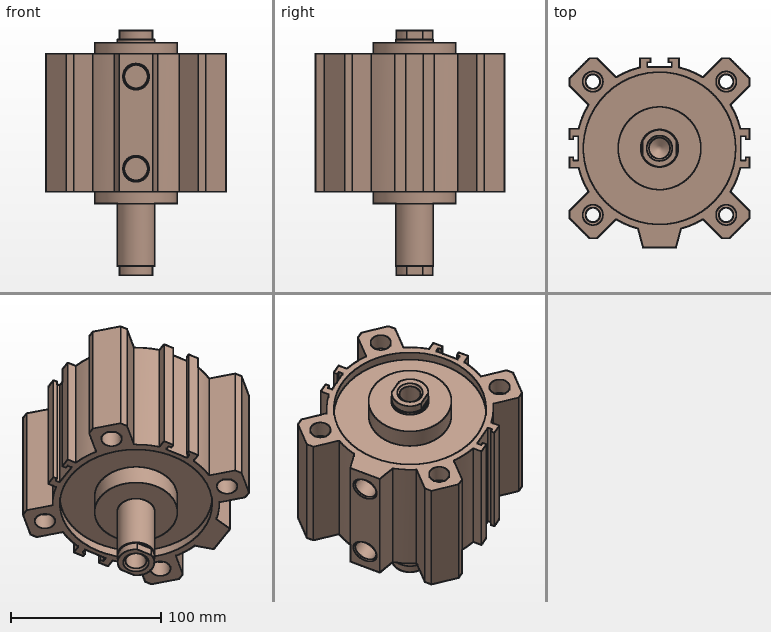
import cadquery as cq
import math

ROD_LENGTH = 163.0
BODY_BOTTOM = 55.6
BODY_HEIGHT = 92.0
BODY_TOP = BODY_BOTTOM + BODY_HEIGHT
BODY_MIDDLE = BODY_BOTTOM + BODY_HEIGHT / 2

BARREL_RADIUS = 55.5
HALF_WIDTH = 60.0
RECESS_RADIUS = 50.7
RECESS_DEPTH = 7.0
BOSS_RADIUS = 27.5
TOP_BOSS_HEIGHT = 7.3
BOTTOM_BOSS_HEIGHT = 7.8

EAR_WIDTH = 26.0
EAR_REACH = 75.3
BOLT_OFFSET = 44.3
BOLT_DIAMETER = 9.5
COUNTERBORE_DIAMETER = 13.5
COUNTERBORE_DEPTH = 13.0

RAIL_WIDTH = 26.2
SLOT_OPENING = 11.7
SLOT_INNER_WIDTH = 16.0
SLOT_LIP = 2.8
SLOT_FLOOR = 54.1

RIDGE_REACH = 66.0
RIDGE_FACE_WIDTH = 22.0
RIDGE_SLOPE = 15.0
PORT_DIAMETER = 15.5
PORT_DEPTH = 13.0
PORT_CHAMFER = 1.0
PORT_SPACING = 61.3

ROD_RADIUS = 12.5
TIP_RADIUS = 12.2
TIP_LENGTH = 6.0
FLATS_WIDTH = 22.0
SOCKET_RADIUS = 7.0
SOCKET_MOUTH_RADIUS = 8.5
SOCKET_DEPTH = 24.5
DRILL_POINT_ANGLE = 118.0


def make_ridge():
    """Port ridge that widens from its outer face towards the barrel."""
    face_half = RIDGE_FACE_WIDTH / 2
    foot_y = -RECESS_RADIUS
    foot_half = face_half + (RIDGE_REACH + foot_y) * math.tan(math.radians(RIDGE_SLOPE))
    return (
        cq.Workplane("XY")
        .polyline([
            (-face_half, -RIDGE_REACH),
            (face_half, -RIDGE_REACH),
            (foot_half, foot_y),
            (-foot_half, foot_y),
        ])
        .close()
        .extrude(BODY_HEIGHT)
    )


def make_ears():
    """Two diagonal bars whose ends are clipped by the square envelope."""
    envelope = cq.Workplane("XY").rect(2 * HALF_WIDTH, 2 * HALF_WIDTH).extrude(BODY_HEIGHT)
    bar = cq.Workplane("XY").rect(2 * EAR_REACH, EAR_WIDTH).extrude(BODY_HEIGHT)
    bars = bar.rotate((0, 0, 0), (0, 0, 1), 45).union(bar.rotate((0, 0, 0), (0, 0, 1), -45))
    return bars.intersect(envelope)


def make_rail():
    """Rail block on the +X side, before its T-slot is cut."""
    return (
        cq.Workplane("XY")
        .center(HALF_WIDTH / 2, 0)
        .rect(HALF_WIDTH, RAIL_WIDTH)
        .extrude(BODY_HEIGHT)
    )


def make_rail_slot():
    """T-slot cutter on the +X side."""
    lip_x = HALF_WIDTH - SLOT_LIP
    opening = (
        cq.Workplane("XY")
        .center((SLOT_FLOOR + HALF_WIDTH) / 2, 0)
        .rect(HALF_WIDTH - SLOT_FLOOR, SLOT_OPENING)
        .extrude(BODY_HEIGHT)
    )
    inner = (
        cq.Workplane("XY")
        .center((SLOT_FLOOR + lip_x) / 2, 0)
        .rect(lip_x - SLOT_FLOOR, SLOT_INNER_WIDTH)
        .extrude(BODY_HEIGHT)
    )
    return opening.union(inner)


def make_profile():
    """Extruded housing profile, standing on z = 0."""
    barrel = cq.Workplane("XY").circle(BARREL_RADIUS).extrude(BODY_HEIGHT)
    profile = barrel.union(make_ridge()).union(make_ears())
    for angle in (0, 90, 180):
        profile = profile.union(make_rail().rotate((0, 0, 0), (0, 0, 1), angle))
        profile = profile.cut(make_rail_slot().rotate((0, 0, 0), (0, 0, 1), angle))
    return profile


def cut_end_recesses(body):
    """Cut the round end recesses, then add the bosses standing in them."""
    for floor_z in (BODY_TOP - RECESS_DEPTH, BODY_BOTTOM):
        recess = (
            cq.Workplane("XY")
            .workplane(offset=floor_z)
            .circle(RECESS_RADIUS)
            .extrude(RECESS_DEPTH)
        )
        body = body.cut(recess)
    boss_bottom = BODY_BOTTOM - BOTTOM_BOSS_HEIGHT
    boss_top = BODY_TOP + TOP_BOSS_HEIGHT
    bosses = (
        cq.Workplane("XY")
        .workplane(offset=boss_bottom)
        .circle(BOSS_RADIUS)
        .extrude(boss_top - boss_bottom)
    )
    return body.union(bosses)


def cut_bolt_holes(body):
    """Through holes in the ears, counterbored from both ends."""
    bolt_points = [(x, y) for x in (-BOLT_OFFSET, BOLT_OFFSET) for y in (-BOLT_OFFSET, BOLT_OFFSET)]
    cylinders = (
        (BOLT_DIAMETER, BODY_BOTTOM, BODY_HEIGHT),
        (COUNTERBORE_DIAMETER, BODY_BOTTOM, COUNTERBORE_DEPTH),
        (COUNTERBORE_DIAMETER, BODY_TOP - COUNTERBORE_DEPTH, COUNTERBORE_DEPTH),
    )
    for diameter, start_z, length in cylinders:
        holes = (
            cq.Workplane("XY")
            .workplane(offset=start_z)
            .pushPoints(bolt_points)
            .circle(diameter / 2)
            .extrude(length)
        )
        body = body.cut(holes)
    return body


def make_port(z):
    """Cutter for one blind port with a chamfered mouth, entering along +Y."""
    radius = PORT_DIAMETER / 2
    port = (
        cq.Workplane("XY")
        .polyline([
            (0, 0),
            (radius + PORT_CHAMFER, 0),
            (radius, PORT_CHAMFER),
            (radius, PORT_DEPTH),
            (0, PORT_DEPTH),
        ])
        .close()
        .revolve(360, (0, 0, 0), (0, 1, 0))
    )
    return port.translate((0, -RIDGE_REACH, z))


def make_housing():
    """Housing with a through bore that fits the rod."""
    body = make_profile().translate((0, 0, BODY_BOTTOM))
    body = cut_end_recesses(body)
    body = cut_bolt_holes(body)
    for side in (-1, 1):
        body = body.cut(make_port(BODY_MIDDLE + side * PORT_SPACING / 2))
    bore = cq.Workplane("XY").circle(ROD_RADIUS).extrude(ROD_LENGTH)
    return body.cut(bore).solids()


def make_rod_socket():
    """Blind socket cutter at the lower rod tip: chamfered mouth and drill point."""
    mouth_depth = SOCKET_MOUTH_RADIUS - SOCKET_RADIUS
    point_height = SOCKET_RADIUS / math.tan(math.radians(DRILL_POINT_ANGLE / 2))
    return (
        cq.Workplane("XZ")
        .polyline([
            (0, 0),
            (SOCKET_MOUTH_RADIUS, 0),
            (SOCKET_RADIUS, mouth_depth),
            (SOCKET_RADIUS, SOCKET_DEPTH),
            (0, SOCKET_DEPTH + point_height),
        ])
        .close()
        .revolve(360, (0, 0, 0), (0, 1, 0))
    )


def make_tip_flats():
    """Cutter for the two wrench flats at the lower rod tip, facing +X and -X."""
    block = cq.Workplane("XY").rect(3 * ROD_RADIUS, 3 * ROD_RADIUS).extrude(TIP_LENGTH)
    kept = cq.Workplane("XY").rect(FLATS_WIDTH, 3 * ROD_RADIUS).extrude(TIP_LENGTH)
    return block.cut(kept)


def make_rod():
    """Through rod with identical tips at both ends."""
    shoulder = TIP_LENGTH + ROD_RADIUS - TIP_RADIUS
    rod_body = (
        cq.Workplane("XZ")
        .polyline([
            (0, 0),
            (TIP_RADIUS, 0),
            (TIP_RADIUS, TIP_LENGTH),
            (ROD_RADIUS, shoulder),
            (ROD_RADIUS, ROD_LENGTH - shoulder),
            (TIP_RADIUS, ROD_LENGTH - TIP_LENGTH),
            (TIP_RADIUS, ROD_LENGTH),
            (0, ROD_LENGTH),
        ])
        .close()
        .revolve(360, (0, 0, 0), (0, 1, 0))
    )
    rod_middle = (0, 0, ROD_LENGTH / 2)
    for cutter in (make_tip_flats(), make_rod_socket()):
        rod_body = rod_body.cut(cutter).cut(cutter.mirror("XY", rod_middle))
    return rod_body.solids()


housing = make_housing()
rod = make_rod()

result = cq.Compound.makeCompound([housing.val(), rod.val()])